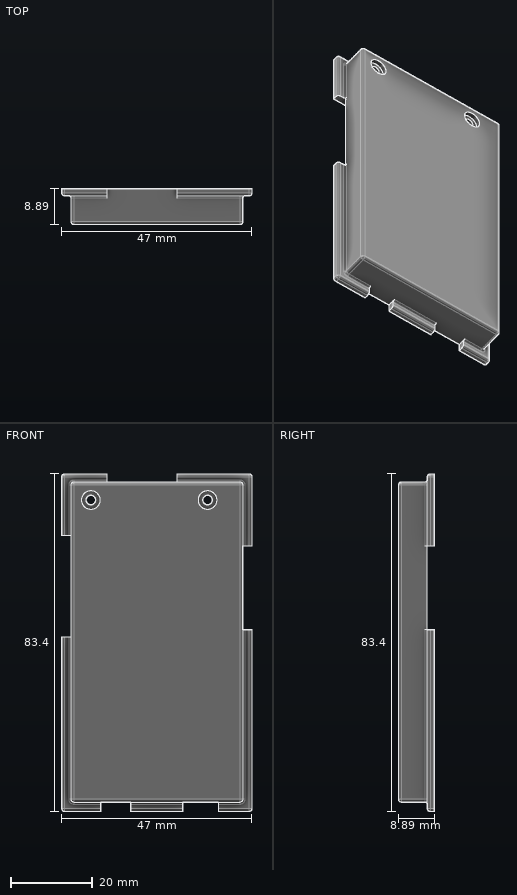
import cadquery as cq

flange_width = 47.02
flange_height = 83.36
flange_thickness = 1.78
cover_depth = 8.89

side_overhang = 2.29
top_overhang = 2.0
bottom_overhang = 2.29
wall = 2.54

edge_radius = 0.76
root_radius = 0.51

left_gap = (1.4, 26.4)
right_gap = (3.2, 23.8)
top_gap = (-12.3, 4.9)
bottom_gaps = [(-13.8, -6.5), (6.4, 15.15)]

hole_x_positions = (-16.3, 12.5)
hole_z = 35.2
hole_diameter = 2.3
counterbore_diameter = 4.6
counterbore_depth = 1.27

flange_right = flange_width / 2
flange_top = flange_height / 2
body_right = flange_right - side_overhang
body_top = flange_top - top_overhang
body_bottom = -flange_top + bottom_overhang


def box_between(x_range, y_range, z_range):
    """Box spanning the given (low, high) limits along each axis."""
    lows, highs = zip(x_range, y_range, z_range)
    sizes = [high - low for low, high in zip(lows, highs)]
    return cq.Workplane("XY").box(*sizes, centered=False).translate(lows)


def make_flange():
    """Full rim plate with rounded corners and a rounded front edge."""
    plate = box_between((-flange_right, flange_right), (-flange_thickness, 0), (-flange_top, flange_top))
    return plate.edges("|Y").fillet(edge_radius).faces("<Y").edges().fillet(edge_radius)


def make_body():
    """Solid tray block with rounded corners and a rounded front edge."""
    block = box_between((-body_right, body_right), (-cover_depth, 0), (body_bottom, body_top))
    return block.edges("|Y").fillet(edge_radius).faces("<Y").edges().fillet(edge_radius)


def fillet_flange_root(part):
    """Fillet the inside corner where the body meets the front of the flange."""
    root_box = cq.selectors.BoxSelector(
        (-body_right - root_radius, -flange_thickness - root_radius, body_bottom - root_radius),
        (body_right + root_radius, -flange_thickness + root_radius, body_top + root_radius),
        boundingbox=True,
    )
    return part.edges(root_box).fillet(root_radius)


def make_cavity():
    """Space inside the tray, open at the back."""
    return box_between(
        (-body_right + wall, body_right - wall),
        (-cover_depth + wall, 0),
        (body_bottom + wall, body_top - wall),
    )


def cut_flange_gaps(part):
    """Remove the flange and its root fillet down to the body faces, and notch the two side walls."""
    gap_depth = (-flange_thickness - root_radius, 0)
    left_outside = (-flange_right, -body_right)
    right_outside = (body_right, flange_right)
    part = part.cut(box_between(left_outside, gap_depth, left_gap))
    part = part.cut(box_between(right_outside, gap_depth, right_gap))
    part = part.cut(box_between(top_gap, gap_depth, (body_top, flange_top)))
    for gap in bottom_gaps:
        part = part.cut(box_between(gap, gap_depth, (-flange_top, body_bottom)))

    notch_depth = (-flange_thickness, 0)
    part = part.cut(box_between((-body_right, -body_right + wall), notch_depth, left_gap))
    return part.cut(box_between((body_right - wall, body_right), notch_depth, right_gap))


def cut_screw_holes(part):
    """Counterbored holes through the front wall."""
    front_face = cq.Workplane("XZ", origin=(0, -cover_depth, 0))
    centres = [(x, hole_z) for x in hole_x_positions]
    holes = front_face.pushPoints(centres).circle(hole_diameter / 2).extrude(-wall)
    counterbores = front_face.pushPoints(centres).circle(counterbore_diameter / 2).extrude(-counterbore_depth)
    return part.cut(holes).cut(counterbores)


cover = fillet_flange_root(make_flange().union(make_body()))
cover = cut_flange_gaps(cover.cut(make_cavity()))
result = cut_screw_holes(cover)